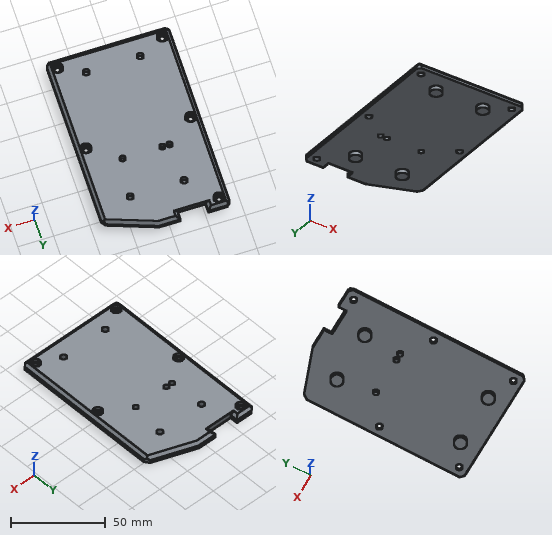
import cadquery as cq
import math

plate_width = 68.19
plate_length = 107.0
plate_thickness = 4.0
top_bevel = 2.0
corner_chamfer = 2.0

slant_start_x = 40.0
slant_angle = 20.0

notch_left_x = 12.5
notch_width = 15.5
notch_depth = 5.0
notch_bevel = 2.12

screw_inset = 5.0
screw_diameter = 3.5
counterbore_diameter = 5.7
counterbore_depth = 2.0

foot_diameter = 7.0
foot_height = 2.5
foot_hole_diameter = 3.6
foot_hole_depth = plate_thickness
foot_spacing_x = 30.0
foot_spacing_y = 75.0
feet_per_side = 2
first_foot_x = 19.5
first_foot_y = 12.0

row_hole_diameter = 3.1
row_hole_y = 65.0
row_hole_xs = (20.5, 24.5, 46.5)

screw_left_x = screw_inset
screw_right_x = plate_width - screw_inset
screw_bottom_y = screw_inset
screw_middle_y = plate_length / 2
screw_top_y = plate_length - screw_inset
screw_centers = [
    (screw_left_x, screw_bottom_y),
    (screw_right_x, screw_bottom_y),
    (screw_left_x, screw_middle_y),
    (screw_right_x, screw_middle_y),
    (screw_left_x, screw_top_y),
]

foot_centers = [
    (first_foot_x + column * foot_spacing_x, first_foot_y + row * foot_spacing_y)
    for column in range(feet_per_side)
    for row in range(feet_per_side)
]


def make_plate():
    """Plate with a slanted corner, a bevelled top rim and cut vertical corners."""
    slant_drop = (plate_width - slant_start_x) * math.tan(math.radians(slant_angle))
    outline = [
        (0, 0),
        (plate_width, 0),
        (plate_width, plate_length - slant_drop),
        (slant_start_x, plate_length),
        (0, plate_length),
    ]
    blank = cq.Workplane("XY").polyline(outline).close().extrude(plate_thickness)
    bevelled = blank.faces(">Z").edges().chamfer(top_bevel)
    corner_cut = blank.edges("|Z").edges("<X or >X").chamfer(corner_chamfer)
    return bevelled.intersect(corner_cut)


def make_notch():
    """Cutter for the edge notch, whose two side walls flare out towards the top."""
    right_x = notch_left_x + notch_width
    bevel_start_z = plate_thickness - top_bevel
    section = [
        (notch_left_x, 0),
        (right_x, 0),
        (right_x, bevel_start_z),
        (right_x + notch_bevel, plate_thickness),
        (notch_left_x - notch_bevel, plate_thickness),
        (notch_left_x, bevel_start_z),
    ]
    cutter = cq.Workplane("XZ").polyline(section).close().extrude(notch_depth)
    return cutter.translate((0, plate_length, 0))


def add_feet(body):
    """Feet below the plate with blind holes opening on the top face."""
    feet = cq.Workplane("XY").pushPoints(foot_centers).circle(foot_diameter / 2).extrude(-foot_height)
    holes = (
        cq.Workplane("XY", origin=(0, 0, plate_thickness))
        .pushPoints(foot_centers)
        .circle(foot_hole_diameter / 2)
        .extrude(-foot_hole_depth)
    )
    return body.union(feet).cut(holes)


def cut_screw_holes(body):
    """Through holes for the screws, counterbored from the top face."""
    top = cq.Workplane("XY", origin=(0, 0, plate_thickness)).pushPoints(screw_centers)
    shanks = top.circle(screw_diameter / 2).extrude(-plate_thickness)
    heads = top.circle(counterbore_diameter / 2).extrude(-counterbore_depth)
    return body.cut(shanks).cut(heads)


def cut_row_holes(body):
    """Plain through holes lined up across the plate."""
    centers = [(x, row_hole_y) for x in row_hole_xs]
    holes = cq.Workplane("XY").pushPoints(centers).circle(row_hole_diameter / 2).extrude(plate_thickness)
    return body.cut(holes)


result = make_plate().cut(make_notch())
result = add_feet(result)
result = cut_screw_holes(result)
result = cut_row_holes(result)